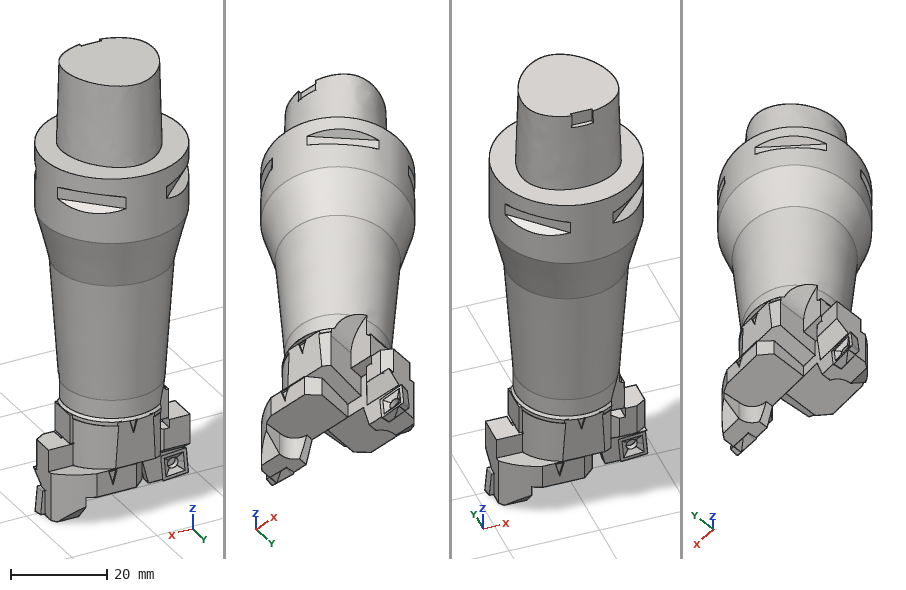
import cadquery as cq
import math


SHANK_LENGTH = 19.0
SHANK_BASE_RADIUS = 11.0
SHANK_TOP_RADIUS = 10.5
LOBE_HEIGHT = 1.0
KEYWAY_WIDTH = 4.7
KEYWAY_HEIGHT = 3.1
KEYWAY_FLOOR_Y = -9.0

FLANGE_RADIUS = 16.0
FLANGE_BOTTOM_Z = -15.3
NECK_RADIUS = 13.0
NECK_TOP_Z = -27.0
WAIST_RADIUS = 11.1
WAIST_TOP_Z = -55.2
COLLAR_RADIUS = 11.6
COLLAR_CHAMFER_TOP_Z = -59.5
COLLAR_TOP_Z = -60.1
COLLAR_BOTTOM_Z = -61.0
HEAD_RADIUS = 11.5

SLOT_COUNT = 4
SLOT_FLOOR_RADIUS = 14.2
SLOT_FLOOR_TOP_Z = -4.5
SLOT_FLOOR_BOTTOM_Z = -7.2
SLOT_TOP_FLARE = 0.8
SLOT_BOTTOM_FLARE = 1.2

SEAT_APEX_Z = -72.7
SEAT_SLOPE = 0.15
HEAD_FLAT_TOP_Y = 10.8
HEAD_FLAT_BOTTOM_Y = 10.5
FLUTE_FLOOR_X = 6.4
FLUTE_WALL_Y = -3.2
FLUTE_RUNOUT_Z = -62.2
FLUTE_RUNOUT_RADIUS = 10.3
PAD_FACE_X = 11.7
PAD_BOTTOM_Z = -66.9
KEY_SIDE_Y = 3.5

TAB_INNER_X = 11.9
TAB_OUTER_X = 16.7
TAB_TOP_Z = -67.1
TAB_TOP_STEP = 0.3
TAB_CORNER_CUT = (2.3, 1.4)
TAB_FOOT_TOP_Z = -69.3
TAB_FOOT_X = 10.6
TAB_BEVEL_X = 8.0
TAB_BEVEL_TOP_Z = -74.3
PLATE_BOTTOM_Z = -76.7
PLATE_END_X = -2.8
PLATE_CORNER = (2.7, 2.5)
PLATE_FLAT_START_X = 9.1
PLATE_ARC_START_Y = 4.7
PLATE_ARC_MIDDLE = (13.7, 8.0)
PLATE_BACK_Y = 10.7
LEG_BOTTOM_Z = -83.2
LEG_BACK_Y = 9.8
LEG_CHAMFER_TOP_Z = -78.8
LEG_CHAMFER_BOTTOM_Y = 5.8
LEG_INNER_X = 7.0
LEG_INNER_LEAN = 1.6
LEG_GULLET_START_Y = 1.7
LEG_GULLET_MIDDLE = (9.7, 3.0)
LEG_GULLET_END = (10.9, 5.8)
LEG_GULLET_BACK_X = 11.2

INSERT_SIDE = 6.0
INSERT_THICKNESS = 2.0
INSERT_CORNER_RADIUS = 0.3
INSERT_TURN = 5.0
INSERT_RELIEF = 7.0
INSERT_CENTRE_X = 14.8
INSERT_CENTRE_Z = -80.3
INSERT_HOLE_DIAMETER = 2.5
INSERT_RECESS_SIDE = 4.5
INSERT_RECESS_DEPTH = 0.8

MARK_WIDTH = 1.8
MARK_HEIGHT = 3.3
MARK_DEPTH = 0.4
BODY_MARK = (-0.5, -60.3)
CARTRIDGE_MARK = (5.3, -71.4)

MARGIN = 5.1
BOTTOM_Z = LEG_BOTTOM_Z - MARGIN


def box(x_range, y_range, z_range):
    """Box from its limits along each axis."""
    size = [high - low for low, high in (x_range, y_range, z_range)]
    corner = (x_range[0], y_range[0], z_range[0])
    return cq.Workplane("XY").box(*size, centered=False).translate(corner)


def half_turn(shape):
    """The same shape on the opposite side of the tool axis."""
    return shape.rotate((0, 0, 0), (0, 0, 1), 180)


def seat_height(y):
    return SEAT_APEX_Z + SEAT_SLOPE * abs(y)


def index_mark(x, y, top_z):
    """Triangular notch that points down, cut inward from a face at -y."""
    return (
        cq.Workplane("XZ", origin=(x, y, top_z))
        .polyline([(-MARK_WIDTH / 2, 0), (MARK_WIDTH / 2, 0), (0, -MARK_HEIGHT)])
        .close()
        .extrude(MARK_DEPTH, both=True)
    )


def polygon_shank():
    """Tapered three-lobed shank with one lobe toward +Y."""

    def trilobe(mean_radius):
        def point(t):
            a = 2 * math.pi * t
            along = mean_radius * math.cos(a) + LOBE_HEIGHT * (math.cos(2 * a) - math.cos(4 * a) / 2)
            across = mean_radius * math.sin(a) - LOBE_HEIGHT * (math.sin(2 * a) + math.sin(4 * a) / 2)
            return (-across, along)

        return point

    shank = (
        cq.Workplane("XY")
        .parametricCurve(trilobe(SHANK_BASE_RADIUS), N=60)
        .workplane(offset=SHANK_LENGTH)
        .parametricCurve(trilobe(SHANK_TOP_RADIUS), N=60)
        .loft(ruled=True)
    )
    keyway = box(
        (-KEYWAY_WIDTH / 2, KEYWAY_WIDTH / 2),
        (KEYWAY_FLOOR_Y - MARGIN, KEYWAY_FLOOR_Y),
        (SHANK_LENGTH - KEYWAY_HEIGHT, SHANK_LENGTH + MARGIN),
    )
    return shank.cut(keyway)


def turned_body():
    outline = [
        (0, 0),
        (FLANGE_RADIUS, 0),
        (FLANGE_RADIUS, FLANGE_BOTTOM_Z),
        (NECK_RADIUS, NECK_TOP_Z),
        (WAIST_RADIUS, WAIST_TOP_Z),
        (WAIST_RADIUS, COLLAR_CHAMFER_TOP_Z),
        (COLLAR_RADIUS, COLLAR_TOP_Z),
        (COLLAR_RADIUS, COLLAR_BOTTOM_Z),
        (HEAD_RADIUS, COLLAR_BOTTOM_Z),
        (HEAD_RADIUS, SEAT_APEX_Z),
        (0, SEAT_APEX_Z),
    ]
    return cq.Workplane("XZ").polyline(outline).close().revolve(360, (0, 0, 0), (0, 1, 0))


def gripper_slot(angle):
    """Flat-bottomed slot with flared sides, cut across the flange edge."""
    outline = [
        (SLOT_FLOOR_RADIUS, SLOT_FLOOR_TOP_Z),
        (FLANGE_RADIUS, SLOT_FLOOR_TOP_Z + SLOT_TOP_FLARE),
        (FLANGE_RADIUS, SLOT_FLOOR_BOTTOM_Z - SLOT_BOTTOM_FLARE),
        (SLOT_FLOOR_RADIUS, SLOT_FLOOR_BOTTOM_Z),
    ]
    slot = cq.Workplane("XZ").polyline(outline).close().extrude(FLANGE_RADIUS, both=True)
    return slot.rotate((0, 0, 0), (0, 0, 1), angle)


def chip_flute():
    """Flute on the +X, -Y side; its floor curves outward at the top."""
    runout_centre_x = FLUTE_FLOOR_X + FLUTE_RUNOUT_RADIUS
    diagonal = FLUTE_RUNOUT_RADIUS * math.sqrt(0.5)
    return (
        cq.Workplane("XZ", origin=(0, FLUTE_WALL_Y, 0))
        .moveTo(FLUTE_FLOOR_X, BOTTOM_Z)
        .lineTo(FLUTE_FLOOR_X, FLUTE_RUNOUT_Z)
        .threePointArc(
            (runout_centre_x - diagonal, FLUTE_RUNOUT_Z + diagonal),
            (runout_centre_x, FLUTE_RUNOUT_Z + FLUTE_RUNOUT_RADIUS),
        )
        .lineTo(runout_centre_x, BOTTOM_Z)
        .close()
        .extrude(FLANGE_RADIUS)
    )


def head_flat():
    """Slightly leaning flat on the +Y side of the head."""
    outline = [
        (HEAD_FLAT_TOP_Y, COLLAR_TOP_Z),
        (HEAD_FLAT_BOTTOM_Y, SEAT_APEX_Z),
        (FLANGE_RADIUS, SEAT_APEX_Z),
        (FLANGE_RADIUS, COLLAR_TOP_Z),
    ]
    return cq.Workplane("YZ").polyline(outline).close().extrude(FLANGE_RADIUS, both=True)


def seat_wedge(below):
    """Space under (or above) the V-shaped seat between body and cartridges."""
    edge_z = BOTTOM_Z if below else COLLAR_TOP_Z
    outline = [
        (-FLANGE_RADIUS, edge_z),
        (-FLANGE_RADIUS, seat_height(FLANGE_RADIUS)),
        (0, SEAT_APEX_Z),
        (FLANGE_RADIUS, seat_height(FLANGE_RADIUS)),
        (FLANGE_RADIUS, edge_z),
    ]
    return cq.Workplane("YZ").polyline(outline).close().extrude(FLANGE_RADIUS + MARGIN, both=True)


def make_body():
    body = turned_body().union(polygon_shank())
    for i in range(SLOT_COUNT):
        body = body.cut(gripper_slot((i + 0.5) * 360 / SLOT_COUNT))

    pad = box((0, PAD_FACE_X), (FLUTE_WALL_Y, KEY_SIDE_Y), (PAD_BOTTOM_Z, COLLAR_TOP_Z))
    key_slot = box(
        (FLUTE_FLOOR_X, FLANGE_RADIUS), (FLUTE_WALL_Y, KEY_SIDE_Y), (BOTTOM_Z, PAD_BOTTOM_Z)
    )
    mark = half_turn(index_mark(BODY_MARK[0], -HEAD_FLAT_TOP_Y, BODY_MARK[1]))
    body = body.union(pad).union(half_turn(pad))
    for cutter in (chip_flute(), key_slot, head_flat(), mark):
        body = body.cut(cutter).cut(half_turn(cutter))
    return body.cut(seat_wedge(below=True))


def insert_blank():
    """Square insert without its hole, cutting face on Y = 0 and facing -Y."""
    return (
        cq.Workplane("XZ")
        .sketch()
        .rect(INSERT_SIDE, INSERT_SIDE)
        .vertices()
        .fillet(INSERT_CORNER_RADIUS)
        .finalize()
        .extrude(-INSERT_THICKNESS, taper=INSERT_RELIEF)
    )


def insert_opening():
    """Through hole with a square recess that narrows down to it."""
    recess = (
        cq.Workplane("XZ")
        .rect(INSERT_RECESS_SIDE, INSERT_RECESS_SIDE)
        .workplane(offset=-INSERT_RECESS_DEPTH)
        .circle(INSERT_HOLE_DIAMETER / 2)
        .loft()
    )
    hole = cq.Workplane("XZ").circle(INSERT_HOLE_DIAMETER / 2).extrude(-INSERT_THICKNESS)
    return recess.union(hole)


def place_insert(shape):
    """Tilt the insert and move it to the tip of the +X leg."""
    turned = shape.rotate((0, 0, 0), (0, 1, 0), -INSERT_TURN)
    return turned.translate((INSERT_CENTRE_X, 0, INSERT_CENTRE_Z))


def cartridge_plate(top_z):
    """Plate under the seat, with the key that fills the slot in the body."""
    plate = (
        cq.Workplane("XY", origin=(0, 0, PLATE_BOTTOM_Z))
        .moveTo(PLATE_END_X, 0)
        .lineTo(TAB_OUTER_X, 0)
        .lineTo(TAB_OUTER_X, PLATE_ARC_START_Y)
        .threePointArc(PLATE_ARC_MIDDLE, (PLATE_FLAT_START_X, PLATE_BACK_Y))
        .lineTo(PLATE_END_X + PLATE_CORNER[0], PLATE_BACK_Y)
        .lineTo(PLATE_END_X, PLATE_BACK_Y - PLATE_CORNER[1])
        .close()
        .extrude(SEAT_APEX_Z + SEAT_SLOPE * FLANGE_RADIUS - PLATE_BOTTOM_Z)
    )
    key = box((FLUTE_FLOOR_X, TAB_OUTER_X), (0, KEY_SIDE_Y), (PLATE_BOTTOM_Z, top_z))
    return plate.cut(seat_wedge(below=False)).union(key)


def cartridge_tab(top_z, corner_cut):
    """Tab that stands forward of the plate, bevelled on its inner and lower sides."""
    tab = (
        cq.Workplane("XZ")
        .polyline([
            (TAB_BEVEL_X, PLATE_BOTTOM_Z),
            (TAB_OUTER_X, PLATE_BOTTOM_Z),
            (TAB_OUTER_X, top_z),
            (TAB_INNER_X, top_z),
            (TAB_INNER_X, TAB_FOOT_TOP_Z),
            (TAB_BEVEL_X, TAB_FOOT_TOP_Z),
        ])
        .close()
        .extrude(-FLUTE_WALL_Y)
    )
    inner_bevel = (
        cq.Workplane("XY", origin=(0, 0, BOTTOM_Z))
        .polyline([(TAB_BEVEL_X, 0), (TAB_FOOT_X, FLUTE_WALL_Y), (TAB_BEVEL_X, FLUTE_WALL_Y)])
        .close()
        .extrude(top_z - BOTTOM_Z)
    )
    lower_bevel = (
        cq.Workplane("YZ")
        .polyline([
            (0, PLATE_BOTTOM_Z),
            (FLUTE_WALL_Y, TAB_BEVEL_TOP_Z),
            (FLUTE_WALL_Y, PLATE_BOTTOM_Z),
        ])
        .close()
        .extrude(TAB_OUTER_X)
    )
    tab = tab.cut(inner_bevel).cut(lower_bevel)
    if corner_cut:
        corner = (
            cq.Workplane("XY", origin=(0, 0, TAB_BEVEL_TOP_Z))
            .moveTo(TAB_OUTER_X, FLUTE_WALL_Y)
            .lineTo(TAB_OUTER_X, FLUTE_WALL_Y + corner_cut[1])
            .lineTo(TAB_OUTER_X - corner_cut[0], FLUTE_WALL_Y)
            .close()
            .extrude(top_z - TAB_BEVEL_TOP_Z)
        )
        tab = tab.cut(corner)
    return tab


def cartridge_leg():
    """Leg that carries the insert, hollowed on its inner side and chamfered behind."""
    leg = (
        cq.Workplane("XY", origin=(0, 0, LEG_BOTTOM_Z))
        .moveTo(LEG_INNER_X, 0)
        .lineTo(TAB_OUTER_X, 0)
        .lineTo(TAB_OUTER_X, PLATE_ARC_START_Y)
        .threePointArc(PLATE_ARC_MIDDLE, (PLATE_FLAT_START_X, PLATE_BACK_Y))
        .lineTo(LEG_INNER_X, PLATE_BACK_Y)
        .close()
        .extrude(PLATE_BOTTOM_Z - LEG_BOTTOM_Z)
    )
    gullet = (
        cq.Workplane("XY", origin=(0, 0, LEG_BOTTOM_Z))
        .moveTo(LEG_INNER_X, LEG_GULLET_START_Y)
        .threePointArc(LEG_GULLET_MIDDLE, LEG_GULLET_END)
        .lineTo(LEG_GULLET_BACK_X, LEG_BACK_Y)
        .lineTo(LEG_GULLET_BACK_X, PLATE_BACK_Y)
        .lineTo(LEG_INNER_X, PLATE_BACK_Y)
        .close()
        .extrude(PLATE_BOTTOM_Z - LEG_BOTTOM_Z)
    )
    profile = (
        cq.Workplane("YZ")
        .polyline([
            (0, PLATE_BOTTOM_Z),
            (LEG_BACK_Y, PLATE_BOTTOM_Z),
            (LEG_BACK_Y, LEG_CHAMFER_TOP_Z),
            (LEG_CHAMFER_BOTTOM_Y, LEG_BOTTOM_Z),
            (0, LEG_BOTTOM_Z),
        ])
        .close()
        .extrude(FLANGE_RADIUS + MARGIN)
    )
    lean = (
        cq.Workplane("XZ")
        .polyline([
            (LEG_INNER_X, PLATE_BOTTOM_Z),
            (LEG_INNER_X + LEG_INNER_LEAN, LEG_BOTTOM_Z),
            (LEG_INNER_X, LEG_BOTTOM_Z),
        ])
        .close()
        .extrude(-FLANGE_RADIUS)
    )
    return leg.intersect(profile).cut(gullet).cut(lean)


def make_cartridge(top_z, corner_cut, insert_space):
    cartridge = (
        cartridge_plate(top_z)
        .union(cartridge_tab(top_z, corner_cut))
        .union(cartridge_leg())
    )
    mark = half_turn(index_mark(-CARTRIDGE_MARK[0], -PLATE_BACK_Y, CARTRIDGE_MARK[1]))
    return cartridge.cut(insert_space).cut(mark)


insert = place_insert(insert_blank().cut(insert_opening()))
insert_space = place_insert(insert_blank())

body = make_body()
cartridges = [
    make_cartridge(TAB_TOP_Z, TAB_CORNER_CUT, insert_space),
    half_turn(make_cartridge(TAB_TOP_Z - TAB_TOP_STEP, None, insert_space)),
]
inserts = [insert, half_turn(insert)]

bodies = [body, *cartridges, *inserts]
result = cq.Compound.makeCompound([each.solids().val() for each in bodies])